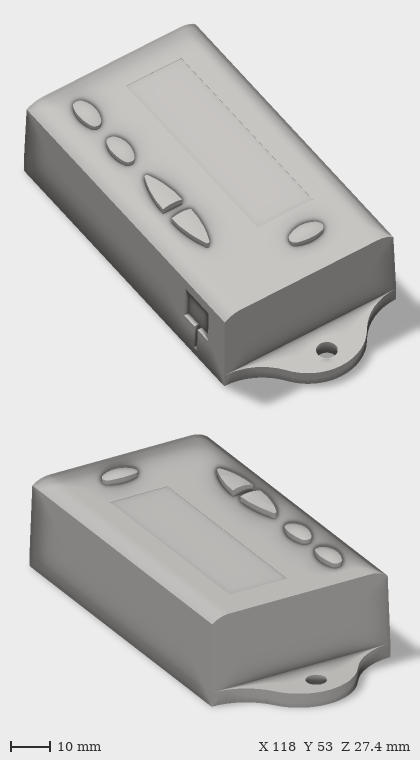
import cadquery as cq
import math

plate_thickness = 4.0
plate_length = 118.0
ear_tip_radius = 15.0
hole_spacing = 105.0
hole_diameter = 5.5

housing_length = 90.0
housing_width = 53.0
housing_top = 25.0
draft_angle = 1.5
edge_radius = 8.0
flat_top_width = 42.0

display_length = 59.0
display_width = 17.0
display_center = (-6.0, 7.0)
display_depth = 0.1

socket_width = 10.6
socket_bottom = 10.2
socket_top = 20.2
socket_center_x = 32.1
cable_slot_width = 1.4
cable_slot_bottom = 2.5
socket_depth = 1.5

button_peak = 27.39
button_row_y = -15.75
oval_length = 10.0
oval_width = 5.0
oval_end_radius = 1.8
oval_long_radius = 13.0
oval_cross_radius = 6.0
oval_row_x = (-32.25, -17.25)
power_button_center = (33.0, 7.0)

arrow_half_width = 3.0
arrow_side_radius = 30.0
arrow_tip_radius = 0.6
arrow_long_radius = 130.0
arrow_cross_radius = 8.5
arrow_gap = 3.8
arrow_center_x = 8.1


def make_plate():
    """Plate whose ears end in a round tip blended into the housing corners."""
    half_length = housing_length / 2
    half_width = housing_width / 2
    tip_center_x = plate_length / 2 - ear_tip_radius
    offset = half_length - tip_center_x
    blend_radius = (half_width**2 + offset**2 - ear_tip_radius**2) / (2 * (ear_tip_radius - offset))
    blend_center_x = half_length + blend_radius
    center_distance = ear_tip_radius + blend_radius
    joint_x = tip_center_x + ear_tip_radius * (blend_center_x - tip_center_x) / center_distance
    joint_y = ear_tip_radius * half_width / center_distance

    outline = (
        cq.Workplane("XY")
        .moveTo(-half_length, half_width)
        .lineTo(half_length, half_width)
        .radiusArc((joint_x, joint_y), -blend_radius)
        .threePointArc((plate_length / 2, 0), (joint_x, -joint_y))
        .radiusArc((half_length, -half_width), -blend_radius)
        .lineTo(-half_length, -half_width)
        .radiusArc((-joint_x, -joint_y), -blend_radius)
        .threePointArc((-plate_length / 2, 0), (-joint_x, joint_y))
        .radiusArc((-half_length, half_width), -blend_radius)
        .close()
    )
    plate = outline.extrude(plate_thickness)
    holes = (
        cq.Workplane("XY")
        .pushPoints([(-hole_spacing / 2, 0), (hole_spacing / 2, 0)])
        .circle(hole_diameter / 2)
        .extrude(plate_thickness)
    )
    return plate.cut(holes)


def make_housing():
    """Drafted block with its two long top edges rounded."""
    height = housing_top - plate_thickness
    block = (
        cq.Workplane("XY", origin=(0, 0, plate_thickness))
        .rect(housing_length, housing_width)
        .extrude(height, taper=draft_angle)
    )
    rounded_envelope = (
        cq.Workplane("XY", origin=(0, 0, plate_thickness))
        .rect(housing_length, flat_top_width + 2 * edge_radius)
        .extrude(height)
        .edges("|X and >Z")
        .fillet(edge_radius)
    )
    return block.intersect(rounded_envelope)


def make_display_recess():
    return (
        cq.Workplane("XY", origin=(*display_center, housing_top - display_depth))
        .rect(display_length, display_width)
        .extrude(display_depth)
    )


def make_wall_recess(width, bottom, top):
    """Recess in the -Y wall, centered on the cable socket."""
    return (
        cq.Workplane("XY")
        .box(width, socket_depth, top - bottom, centered=(True, False, False))
        .translate((socket_center_x, -housing_width / 2, bottom))
    )


def make_crown(half_length, long_radius, cross_radius):
    """Doubly curved solid: an arc along X turned about an axis parallel to X, peaking on the Z axis."""
    end_drop = long_radius - math.sqrt(long_radius**2 - half_length**2)
    end_radius = cross_radius - end_drop
    return (
        cq.Workplane("XZ")
        .moveTo(-half_length, 0)
        .lineTo(-half_length, end_radius)
        .threePointArc((0, cross_radius), (half_length, end_radius))
        .lineTo(half_length, 0)
        .close()
        .revolve(360, (0, 0), (1, 0))
        .translate((0, 0, button_peak - cross_radius))
    )


def make_oval_button():
    """Four-arc oval button, long along X, centered on the Z axis."""
    half_length = oval_length / 2
    half_width = oval_width / 2
    end_center_x = half_length - oval_end_radius
    width_excess = half_width - oval_end_radius
    side_radius = (half_width**2 + end_center_x**2 - oval_end_radius**2) / (2 * width_excess)
    center_distance = side_radius - oval_end_radius
    joint_x = end_center_x * side_radius / center_distance
    joint_y = oval_end_radius * (side_radius - half_width) / center_distance
    column = (
        cq.Workplane("XY", origin=(0, 0, housing_top))
        .moveTo(-joint_x, joint_y)
        .threePointArc((0, half_width), (joint_x, joint_y))
        .threePointArc((half_length, 0), (joint_x, -joint_y))
        .threePointArc((0, -half_width), (-joint_x, -joint_y))
        .threePointArc((-half_length, 0), (-joint_x, joint_y))
        .close()
        .extrude(button_peak - housing_top)
    )
    return column.intersect(make_crown(half_length, oval_long_radius, oval_cross_radius))


def make_arrow_button():
    """Arrow button pointing to +X, its flat end on the YZ plane."""
    side_center_y = arrow_side_radius - arrow_half_width
    center_distance = arrow_side_radius - arrow_tip_radius
    tip_center_x = math.sqrt(center_distance**2 - side_center_y**2)
    joint_x = tip_center_x * arrow_side_radius / center_distance
    joint_y = arrow_tip_radius * side_center_y / center_distance
    tip_x = tip_center_x + arrow_tip_radius
    column = (
        cq.Workplane("XY", origin=(0, 0, housing_top))
        .moveTo(0, -arrow_half_width)
        .lineTo(0, arrow_half_width)
        .radiusArc((joint_x, joint_y), arrow_side_radius)
        .threePointArc((tip_x, 0), (joint_x, -joint_y))
        .radiusArc((0, -arrow_half_width), arrow_side_radius)
        .close()
        .extrude(button_peak - housing_top)
    )
    return column.intersect(make_crown(tip_x, arrow_long_radius, arrow_cross_radius))


result = make_plate().union(make_housing())
result = result.cut(make_display_recess())
result = result.cut(make_wall_recess(socket_width, socket_bottom, socket_top))
result = result.cut(make_wall_recess(cable_slot_width, cable_slot_bottom, socket_bottom))

oval = make_oval_button()
for oval_x in oval_row_x:
    result = result.union(oval.translate((oval_x, button_row_y, 0)))
power_button = oval.rotate((0, 0, 0), (0, 0, 1), 90)
result = result.union(power_button.translate((*power_button_center, 0)))

arrow = make_arrow_button().translate((arrow_gap / 2, 0, 0))
for turn in (0, 180):
    turned_arrow = arrow.rotate((0, 0, 0), (0, 0, 1), turn)
    result = result.union(turned_arrow.translate((arrow_center_x, button_row_y, 0)))